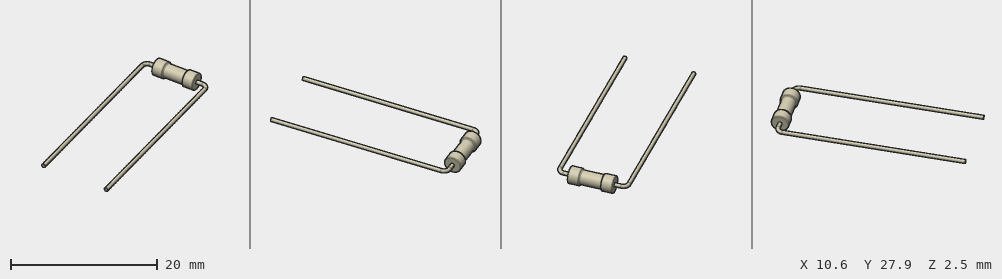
import cadquery as cq
import math

body_length = 6.5
cap_length = 1.65
cap_diameter = 2.5
barrel_diameter = 2.1
edge_radius = 0.1

wire_diameter = 0.6
lead_pitch = 10.0
bend_radius = 0.8
lead_reach = 26.6

body_end = body_length / 2
shoulder = body_end - cap_length
cap_radius = cap_diameter / 2
barrel_radius = barrel_diameter / 2
root_radius = cap_radius - barrel_radius - edge_radius
arc_middle = math.sqrt(0.5)


def make_body():
    """Revolve the whole outline about X, running from the -X end to the +X end."""
    edge_inset = edge_radius * (1 - arc_middle)
    root_inset = root_radius * (1 - arc_middle)
    edge_foot = cap_radius - edge_radius

    root_arc = [(shoulder - root_inset, barrel_radius + root_inset), (shoulder, edge_foot)]
    inner_arc = [(shoulder + edge_inset, cap_radius - edge_inset), (shoulder + edge_radius, cap_radius)]
    outer_arc = [(body_end - edge_inset, cap_radius - edge_inset), (body_end, edge_foot)]

    def mirrored(point):
        return (-point[0], point[1])

    outline = (
        cq.Workplane("XZ")
        .moveTo(-body_end, 0)
        .lineTo(-body_end, edge_foot)
        .threePointArc(mirrored(outer_arc[0]), (-body_end + edge_radius, cap_radius))
        .lineTo(-shoulder - edge_radius, cap_radius)
        .threePointArc(mirrored(inner_arc[0]), (-shoulder, edge_foot))
        .threePointArc(mirrored(root_arc[0]), (-shoulder + root_radius, barrel_radius))
        .lineTo(shoulder - root_radius, barrel_radius)
        .threePointArc(*root_arc)
        .threePointArc(*inner_arc)
        .lineTo(body_end - edge_radius, cap_radius)
        .threePointArc(*outer_arc)
        .lineTo(body_end, 0)
        .close()
    )
    return outline.revolve(360, (0, 0, 0), (1, 0, 0))


def make_lead(side):
    """Sweep the wire from the body end face, round the bend and down the leg; side is +1 or -1."""
    leg_x = lead_pitch / 2
    bend_inset = bend_radius * (1 - arc_middle)
    path = (
        cq.Workplane("XY")
        .moveTo(side * body_end, 0)
        .lineTo(side * (leg_x - bend_radius), 0)
        .threePointArc((side * (leg_x - bend_inset), -bend_inset), (side * leg_x, -bend_radius))
        .lineTo(side * leg_x, -lead_reach)
    )
    section = cq.Workplane("YZ", origin=(side * body_end, 0, 0)).circle(wire_diameter / 2)
    return section.sweep(path)


body = make_body()
leads = [make_lead(side) for side in (-1, 1)]

result = cq.Compound.makeCompound([body.val(), *[lead.val() for lead in leads]])